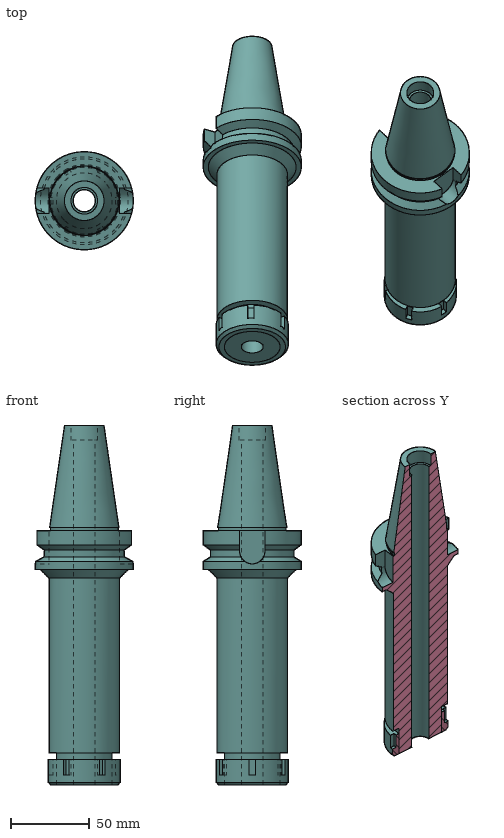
import cadquery as cq

TOP_Z = 230.5
GAUGE_Z = 165.0
FLANGE_TOP_Z = 163.0
GROOVE_TOP_Z = 154.0
GROOVE_ROOT_TOP_Z = 150.5
GROOVE_ROOT_BOTTOM_Z = 146.0
GROOVE_BOTTOM_Z = 143.3
FLANGE_BOTTOM_Z = 138.0
CONE_BOTTOM_Z = 132.5
BARREL_BOTTOM_Z = 20.7
NUT_TOP_Z = 16.5

TAPER_TOP_DIA = 25.3
TAPER_GAUGE_DIA = 44.5
RELIEF_DIA = 43.5
FLANGE_DIA = 63.0
GROOVE_ROOT_DIA = 53.7
CONE_TOP_DIA = 56.2
BARREL_DIA = 45.2
NOSE_DIA = 35.7

BORE_DIA = 14.0
COUNTERBORE_DIA = 17.0
COUNTERBORE_DEPTH = 9.5

KEYWAY_WIDTH = 16.1
KEYWAY_FLOOR_X = 22.5
KEYWAY_BOTTOM_Z = 141.7

NUT_DIA = 46.3
NUT_CHAMFER = 1.8
SPANNER_SLOT_COUNT = 6
SPANNER_SLOT_WIDTH = 4.0
SPANNER_SLOT_DEPTH = 3.0
SPANNER_SLOT_BOTTOM_Z = 6.7


def holder_blank():
    """Revolved body of the tool holder: taper, flange with V groove, barrel and nose."""
    profile = [
        (0, TOP_Z),
        (TAPER_TOP_DIA / 2, TOP_Z),
        (TAPER_GAUGE_DIA / 2, GAUGE_Z),
        (RELIEF_DIA / 2, GAUGE_Z),
        (RELIEF_DIA / 2, FLANGE_TOP_Z),
        (FLANGE_DIA / 2, FLANGE_TOP_Z),
        (FLANGE_DIA / 2, GROOVE_TOP_Z),
        (GROOVE_ROOT_DIA / 2, GROOVE_ROOT_TOP_Z),
        (GROOVE_ROOT_DIA / 2, GROOVE_ROOT_BOTTOM_Z),
        (FLANGE_DIA / 2, GROOVE_BOTTOM_Z),
        (FLANGE_DIA / 2, FLANGE_BOTTOM_Z),
        (CONE_TOP_DIA / 2, FLANGE_BOTTOM_Z),
        (BARREL_DIA / 2, CONE_BOTTOM_Z),
        (BARREL_DIA / 2, BARREL_BOTTOM_Z),
        (NOSE_DIA / 2, BARREL_BOTTOM_Z),
        (NOSE_DIA / 2, 0),
        (0, 0),
    ]
    return cq.Workplane("XZ").polyline(profile).close().revolve(360, (0, 0, 0), (0, 1, 0))


def stepped_bore():
    """Through bore with a wider counterbore at the small end of the taper."""
    bore = cq.Workplane("XY").circle(BORE_DIA / 2).extrude(TOP_Z)
    counterbore = (
        cq.Workplane("XY")
        .workplane(offset=TOP_Z - COUNTERBORE_DEPTH)
        .circle(COUNTERBORE_DIA / 2)
        .extrude(COUNTERBORE_DEPTH)
    )
    return bore.union(counterbore)


def drive_keyway():
    """Round-ended keyway on the +X side, open at the top of the flange."""
    half_width = KEYWAY_WIDTH / 2
    arc_center_z = KEYWAY_BOTTOM_Z + half_width
    return (
        cq.Workplane("YZ")
        .workplane(offset=KEYWAY_FLOOR_X)
        .moveTo(-half_width, FLANGE_TOP_Z)
        .lineTo(-half_width, arc_center_z)
        .threePointArc((0, KEYWAY_BOTTOM_Z), (half_width, arc_center_z))
        .lineTo(half_width, FLANGE_TOP_Z)
        .close()
        .extrude(FLANGE_DIA / 2)
    )


def make_holder():
    body = holder_blank().cut(stepped_bore())
    for angle in (0, 180):
        body = body.cut(drive_keyway().rotate((0, 0, 0), (0, 0, 1), angle))
    return body


def spanner_slot():
    """Axial slot on the +X side of the nut, open at its top face."""
    return (
        cq.Workplane("XY")
        .workplane(offset=SPANNER_SLOT_BOTTOM_Z)
        .center(NUT_DIA / 2, 0)
        .rect(2 * SPANNER_SLOT_DEPTH, SPANNER_SLOT_WIDTH)
        .extrude(NUT_TOP_Z - SPANNER_SLOT_BOTTOM_Z)
    )


def make_nut():
    """Ring around the nose of the holder, with spanner slots around its rim."""
    ring = (
        cq.Workplane("XY")
        .circle(NUT_DIA / 2)
        .extrude(NUT_TOP_Z)
        .faces("<Z")
        .chamfer(NUT_CHAMFER)
        .cut(cq.Workplane("XY").circle(NOSE_DIA / 2).extrude(NUT_TOP_Z))
    )
    for index in range(SPANNER_SLOT_COUNT):
        angle = 360 * index / SPANNER_SLOT_COUNT
        ring = ring.cut(spanner_slot().rotate((0, 0, 0), (0, 0, 1), angle))
    return ring


holder = make_holder()
nut = make_nut()

result = cq.Compound.makeCompound([holder.val(), nut.val()])